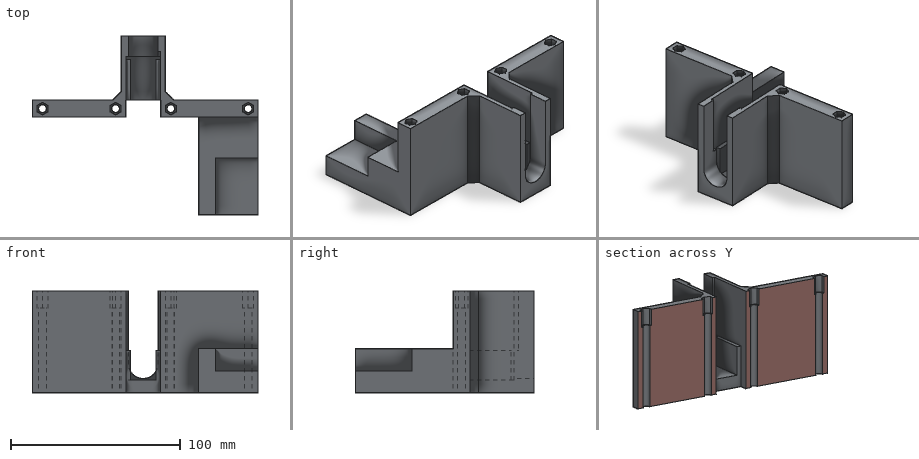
import cadquery as cq
import math

total_length = 132.9
total_depth = 105.25
height = 60.0
arm_length = 57.5
back_y = total_depth - arm_length

plate_thickness = 10.1
channel_left = 55.0
channel_width = 20.5
channel_right = channel_left + channel_width
channel_center = channel_left + channel_width / 2

housing_front_y = 10.0
housing_wall = 2.75
housing_left = channel_left - housing_wall
housing_right = channel_right + housing_wall
brace_leg = 5.0

bore_diameter = 17.5
bore_radius = bore_diameter / 2
bore_bottom_z = 8.5
bore_z = bore_bottom_z + bore_radius

left_stop = 12.0
right_stop = 9.25
left_stop_y = back_y - left_stop
right_stop_y = back_y - right_stop
ledge_z = 25.0
floor_z = 7.5
trough_width = 15.0
cross_pocket_width = 1.75

arm_width = 35.0
arm_height = 26.0
arm_left = total_length - arm_width
arm_wall = 10.0
recess_length = 33.5
recess_floor_z = 13.0

bolt_xs = (6.0, 49.0, 81.5, 127.0)
bolt_y = housing_front_y / 2
bolt_diameter = 4.5
nut_across_flats = 6.4
nut_depth = 10.0


def block(x0, x1, y0, y1, z0, z1):
    """Axis-aligned box between two opposite corners."""
    return cq.Workplane("XY").box(x1 - x0, y1 - y0, z1 - z0, centered=False).translate((x0, y0, z0))


def make_body():
    """Plates and housing as one upright profile, with 45-degree braces in the corners."""
    return (
        cq.Workplane("XY")
        .moveTo(0, 0)
        .lineTo(channel_left, 0)
        .lineTo(channel_left, housing_front_y)
        .lineTo(channel_right, housing_front_y)
        .lineTo(channel_right, 0)
        .lineTo(total_length, 0)
        .lineTo(total_length, plate_thickness)
        .lineTo(housing_right + brace_leg, plate_thickness)
        .lineTo(housing_right, plate_thickness + brace_leg)
        .lineTo(housing_right, back_y)
        .lineTo(housing_left, back_y)
        .lineTo(housing_left, plate_thickness + brace_leg)
        .lineTo(housing_left - brace_leg, plate_thickness)
        .lineTo(0, plate_thickness)
        .close()
        .extrude(height)
    )


def cut_channel(body):
    """Open the channel from above: upper slot, narrow trough and full-width cross pocket."""
    trough_left = channel_center - trough_width / 2
    trough_right = channel_center + trough_width / 2
    upper_slot = block(channel_left, channel_right, housing_front_y, left_stop_y, ledge_z, height)
    right_relief = block(channel_center, channel_right, housing_front_y, right_stop_y, ledge_z, height)
    trough = block(trough_left, trough_right, housing_front_y, left_stop_y, floor_z, height)
    cross_pocket = block(
        channel_left, channel_right, left_stop_y - cross_pocket_width, left_stop_y, floor_z, height
    )
    return body.cut(upper_slot).cut(right_relief).cut(trough).cut(cross_pocket)


def cut_bore(body):
    """Cut the U-shaped rear passage, open at the top and the back."""
    passage = (
        cq.Workplane("XZ", origin=(0, back_y, 0))
        .moveTo(channel_center - bore_radius, height)
        .lineTo(channel_center - bore_radius, bore_z)
        .threePointArc((channel_center, bore_bottom_z), (channel_center + bore_radius, bore_z))
        .lineTo(channel_center + bore_radius, height)
        .close()
        .extrude(left_stop)
    )
    return body.cut(passage)


def make_arm():
    """Arm reaching forward from the right plate, recessed at its outer front corner."""
    arm = block(arm_left, total_length, -arm_length, 0, 0, arm_height)
    recess = block(
        arm_left + arm_wall,
        total_length,
        -arm_length,
        recess_length - arm_length,
        recess_floor_z,
        arm_height,
    )
    return arm.cut(recess)


def cut_bolt_holes(body):
    """Drill the through holes and sink a nut pocket, flats facing X, over each one."""
    nut_across_corners = nut_across_flats / math.cos(math.pi / 6)
    for bolt_x in bolt_xs:
        hole = cq.Workplane("XY").center(bolt_x, bolt_y).circle(bolt_diameter / 2).extrude(height)
        nut_pocket = (
            cq.Workplane("XY")
            .polygon(6, nut_across_corners)
            .extrude(nut_depth)
            .rotate((0, 0, 0), (0, 0, 1), 90)
            .translate((bolt_x, bolt_y, height - nut_depth))
        )
        body = body.cut(hole).cut(nut_pocket)
    return body


body = make_body()
body = cut_channel(body)
body = cut_bore(body)
body = cut_bolt_holes(body)
result = body.union(make_arm())